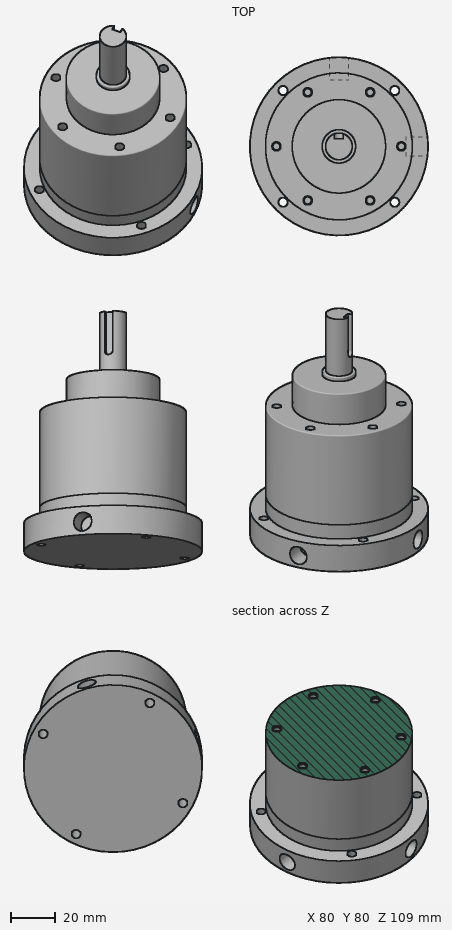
import cadquery as cq


flange_diameter = 80.0
flange_thickness = 13.0
spigot_height = 7.0
flange_hole_diameter = 4.0
flange_hole_circle = 70.8
flange_hole_count = 4
port_diameter = 8.5
port_height = 6.0
port_depth = 10.0
port_angles = (0, 90)

body_diameter = 65.9
body_height = 44.0
edge_fillet = 0.5
boss_diameter = 42.0
boss_height = 15.0
thread_diameter = 4.0
thread_depth = 10.0
tap_drill_diameter = 3.3
tap_drill_depth = 12.0
screw_hole_circle = 56.0
screw_hole_count = 6

total_height = 109.0
collar_diameter = 15.0
collar_height = 2.0
shaft_diameter = 12.0
keyway_width = 4.0
keyway_depth = 2.5
keyway_length = 20.0

split_z = flange_thickness + spigot_height
body_top = split_z + body_height
boss_top = body_top + boss_height
collar_top = boss_top + collar_height


def cylinder(diameter, bottom, top):
    return cq.Workplane("XY").workplane(offset=bottom).circle(diameter / 2).extrude(top - bottom)


def hole_ring(diameter, circle_diameter, count, start_angle, bottom, top):
    """Evenly spaced round cutters parallel to the Z axis."""
    return (
        cq.Workplane("XY")
        .workplane(offset=bottom)
        .polarArray(circle_diameter / 2, start_angle, 360, count)
        .circle(diameter / 2)
        .extrude(top - bottom)
    )


def keyway_cutter():
    """Slot open at the shaft end, with a half-round closed end."""
    radius = keyway_width / 2
    end_z = total_height - keyway_length
    floor_y = shaft_diameter / 2 - keyway_depth
    return (
        cq.Workplane("XZ", origin=(0, floor_y, 0))
        .moveTo(-radius, total_height)
        .lineTo(-radius, end_z + radius)
        .threePointArc((0, end_z), (radius, end_z + radius))
        .lineTo(radius, total_height)
        .close()
        .extrude(-shaft_diameter)
    )


def port_cutter(angle):
    """Blind radial bore into the flange rim, turned about Z from the +X side."""
    return (
        cq.Workplane("YZ", origin=(flange_diameter / 2 - port_depth, 0, port_height))
        .circle(port_diameter / 2)
        .extrude(2 * port_depth)
        .rotate((0, 0, 0), (0, 0, 1), angle)
    )


def screw_hole_ring(diameter, depth):
    """Blind cutters sunk into the casing top around the boss."""
    return hole_ring(diameter, screw_hole_circle, screw_hole_count, 0, body_top - depth, body_top)


def make_flange():
    plate = cylinder(flange_diameter, 0, flange_thickness)
    spigot = cylinder(body_diameter, flange_thickness, split_z)
    holes = hole_ring(flange_hole_diameter, flange_hole_circle, flange_hole_count, 45, 0, flange_thickness)
    flange = plate.cut(holes).union(spigot)
    for angle in port_angles:
        flange = flange.cut(port_cutter(angle))
    return flange


def make_gearbox():
    body = cylinder(body_diameter, split_z, body_top).faces(">Z").edges().fillet(edge_fillet)
    boss = cylinder(boss_diameter, body_top, boss_top).faces(">Z").edges().fillet(edge_fillet)
    collar = cylinder(collar_diameter, boss_top, collar_top).faces(">Z").edges().fillet(edge_fillet)
    shaft = cylinder(shaft_diameter, collar_top, total_height).cut(keyway_cutter())
    threads = screw_hole_ring(thread_diameter, thread_depth)
    tap_drills = screw_hole_ring(tap_drill_diameter, tap_drill_depth)
    return body.cut(threads).cut(tap_drills).union(boss).union(collar).union(shaft)


flange = make_flange()
gearbox = make_gearbox()

result = cq.Compound.makeCompound([flange.val(), gearbox.val()])